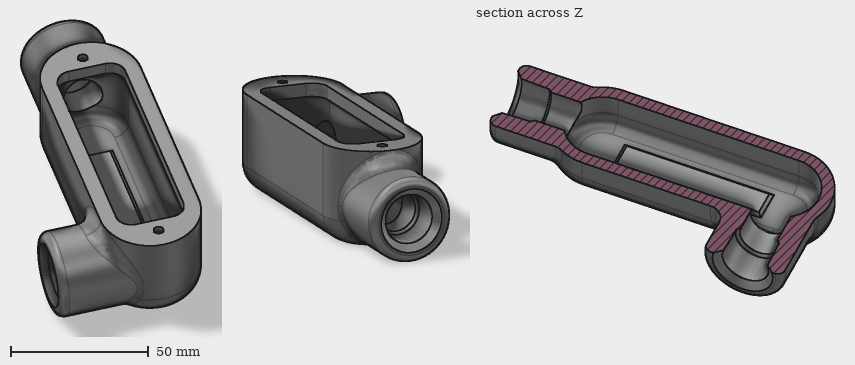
import cadquery as cq
import math

body_length = 109.4
body_width = 37.5
body_height = 37.4
wall = 4.9
bottom_round = 10.1
end_radius = body_width / 2

rim_thickness = 5.0
cavity_top_z = body_height - rim_thickness
opening_length = 83.4
opening_width = 25.6
opening_corner_radius = 5.8
screw_hole_diameter = 3.6
screw_spacing = 94.0

hub_radius = 31.8 / 2
hub_axis_z = hub_radius
hub_length = 19.9
hub_reach = hub_length + end_radius
side_hub_x = 36.7
hub_rim_round = 3.0
hub_root_fillet = 5.8

mouth_radius = 23.9 / 2
bore_outer_radius = 18.4 / 2
bore_inner_radius = 17.6 / 2
throat_radius = 15.4 / 2
mouth_depth = 2.6
bore_end_depth = 13.8
lip_end_depth = bore_end_depth + bore_inner_radius - throat_radius

plaque_length = 59.2
plaque_width = 11.9
plaque_height = 1.3

surplus_below = 0.3
surplus_above = 12.9

overlap = 0.6
tolerance = 0.01

end_hub = cq.Plane(
    origin=(-body_length / 2 - hub_length, 0, hub_axis_z), xDir=(0, 1, 0), normal=(1, 0, 0)
)
side_hub = cq.Plane(
    origin=(side_hub_x, -end_radius - hub_length, hub_axis_z), xDir=(-1, 0, 0), normal=(0, 1, 0)
)
hubs = (end_hub, side_hub)


def rounded_slot(length, width, bottom_z, top_z, edge_round):
    """Slot-shaped block along X with a rounded bottom edge."""
    block = cq.Workplane("XY", origin=(0, 0, bottom_z)).slot2D(length, width).extrude(top_z - bottom_z)
    return block.faces("<Z").edges().fillet(edge_round)


def hub_solid(hub):
    """Solid hub with a rounded rim, reaching into the body."""
    cylinder = cq.Workplane(hub).circle(hub_radius).extrude(hub_reach)
    face = cq.NearestToPointSelector(hub.origin.toTuple())
    return cylinder.faces(face).edges().fillet(hub_rim_round)


def is_root_edge(edge, hub):
    """True for an edge around the hub where it meets the body."""
    if edge.geomType() == "LINE":
        return False
    for position in (0, 0.25, 0.5, 0.75, 1):
        point = hub.toLocalCoords(edge.positionAt(position))
        off_surface = abs(math.hypot(point.x, point.y) - hub_radius) > tolerance
        if off_surface or point.z < hub_rim_round + tolerance:
            return False
    return True


def outer_shape():
    """Solid body and hubs, blended at the hub roots and trimmed to height."""
    shape = rounded_slot(
        body_length,
        body_width,
        -surplus_below,
        body_height + surplus_above,
        bottom_round + surplus_below,
    )
    for hub in hubs:
        shape = shape.union(hub_solid(hub))
    for hub in hubs:
        roots = [edge for edge in shape.edges().vals() if is_root_edge(edge, hub)]
        shape = shape.newObject(roots).fillet(hub_root_fillet)
    envelope_side = 4 * body_length
    envelope = cq.Workplane("XY").box(
        envelope_side, envelope_side, body_height, centered=(True, True, False)
    )
    return shape.intersect(envelope)


def cavity():
    """Slot-shaped hollow that leaves an even wall, floor and bottom corner."""
    return rounded_slot(
        body_length - 2 * wall, body_width - 2 * wall, wall, cavity_top_z, bottom_round - wall
    )


def cover_opening():
    """Rectangular opening through the rim, narrower than the cavity."""
    return (
        cq.Workplane("XY", origin=(0, 0, cavity_top_z - overlap))
        .rect(opening_length, opening_width)
        .extrude(rim_thickness + overlap)
        .edges("|Z")
        .fillet(opening_corner_radius)
    )


def screw_holes():
    """Two cover screw holes through the rim."""
    return (
        cq.Workplane("XY", origin=(0, 0, cavity_top_z - overlap))
        .pushPoints([(-screw_spacing / 2, 0), (screw_spacing / 2, 0)])
        .circle(screw_hole_diameter / 2)
        .extrude(rim_thickness + overlap)
    )


def hub_passage(hub):
    """Turned opening from the hub face into the cavity."""
    half_section = [
        (0, 0),
        (mouth_radius, 0),
        (bore_outer_radius, mouth_depth),
        (bore_inner_radius, bore_end_depth),
        (throat_radius, lip_end_depth),
        (throat_radius, hub_reach),
        (0, hub_reach),
    ]
    turned = cq.Workplane("XZ").polyline(half_section).close().revolve(360, (0, 0, 0), (0, 1, 0))
    return turned.val().moved(cq.Location(hub))


def plaque():
    """Bevelled plaque, sunk slightly into the floor so that it joins it."""
    return (
        cq.Workplane("XY", origin=(0, 0, wall - overlap))
        .rect(plaque_length, plaque_width)
        .extrude(plaque_height + overlap)
        .faces(">Z")
        .edges()
        .chamfer(plaque_height)
    )


result = outer_shape().cut(cavity()).cut(cover_opening()).cut(screw_holes())
for hub in hubs:
    result = result.cut(hub_passage(hub))
result = result.union(plaque())